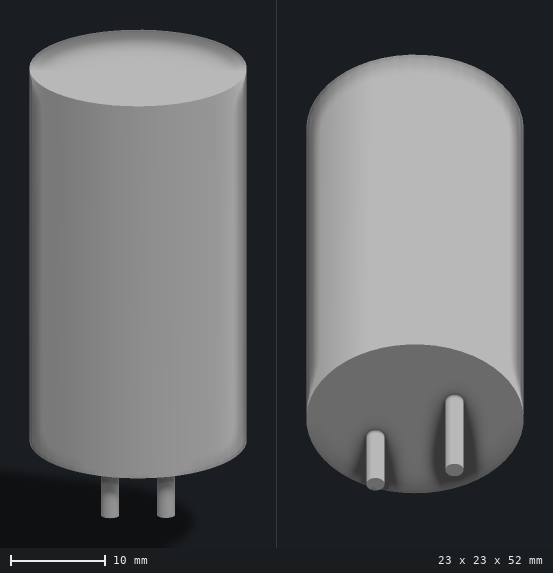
import cadquery as cq

total_height = 52.0
can_diameter = 23.0
lead_diameter = 1.9
lead_spacing = 10.0
long_lead_length = 10.0
short_lead_length = 6.9

can_height = total_height - long_lead_length


def make_can():
    """Plain cylindrical can standing on the plane Z = 0."""
    return cq.Workplane("XY").circle(can_diameter / 2).extrude(can_height)


def make_lead(x, length):
    """Round lead hanging down from the flat underside of the can."""
    return cq.Workplane("XY").center(x, 0).circle(lead_diameter / 2).extrude(-length)


can = make_can()

lead_layout = [
    (-lead_spacing / 2, long_lead_length),
    (lead_spacing / 2, short_lead_length),
]
leads = [make_lead(x, length) for x, length in lead_layout]

result = cq.Compound.makeCompound([can.val(), *[lead.val() for lead in leads]])